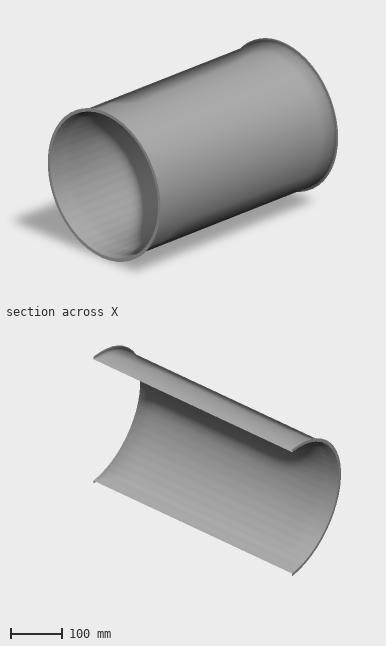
import cadquery as cq

length = 488.0
bore_diameter = 299.0
tube_diameter = 301.0
flange_diameter = 313.0
flange_thickness = (tube_diameter - bore_diameter) / 2


def ring(outer_diameter, y_start, width):
    """Ring around the Y axis with the tube bore, from y_start towards +Y."""
    return (
        cq.Workplane("XZ", origin=(0, y_start, 0))
        .circle(outer_diameter / 2)
        .circle(bore_diameter / 2)
        .extrude(-width)
    )


tube = ring(tube_diameter, -length / 2, length)
front_flange = ring(flange_diameter, -length / 2, flange_thickness)
back_flange = ring(flange_diameter, length / 2 - flange_thickness, flange_thickness)

result = tube.union(front_flange).union(back_flange)